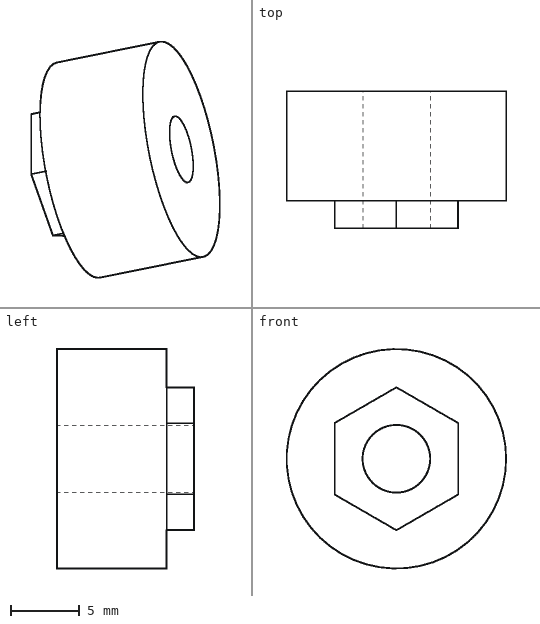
import cadquery as cq
import math

body_diameter = 16.0
body_length = 8.0
hex_across_flats = 9.0
hex_height = 2.0
bore_diameter = 4.91

total_length = body_length + hex_height
hex_across_corners = hex_across_flats / math.cos(math.pi / 6)



def make_body():
    """Round body behind the joint."""
    return cq.Workplane("XZ").circle(body_diameter / 2).extrude(-body_length)


def make_hex_boss():
    """Hexagonal boss with corners pointing up and down along Z."""
    return (
        cq.Workplane("XZ")
        .transformed(rotate=(0, 0, 90))
        .polygon(6, hex_across_corners)
        .extrude(hex_height)
    )


def make_bore():
    """Cylinder that cuts the bore through the full length."""
    return (
        cq.Workplane("XZ", origin=(0, body_length, 0))
        .circle(bore_diameter / 2)
        .extrude(total_length)
    )


result = make_body().union(make_hex_boss()).cut(make_bore())